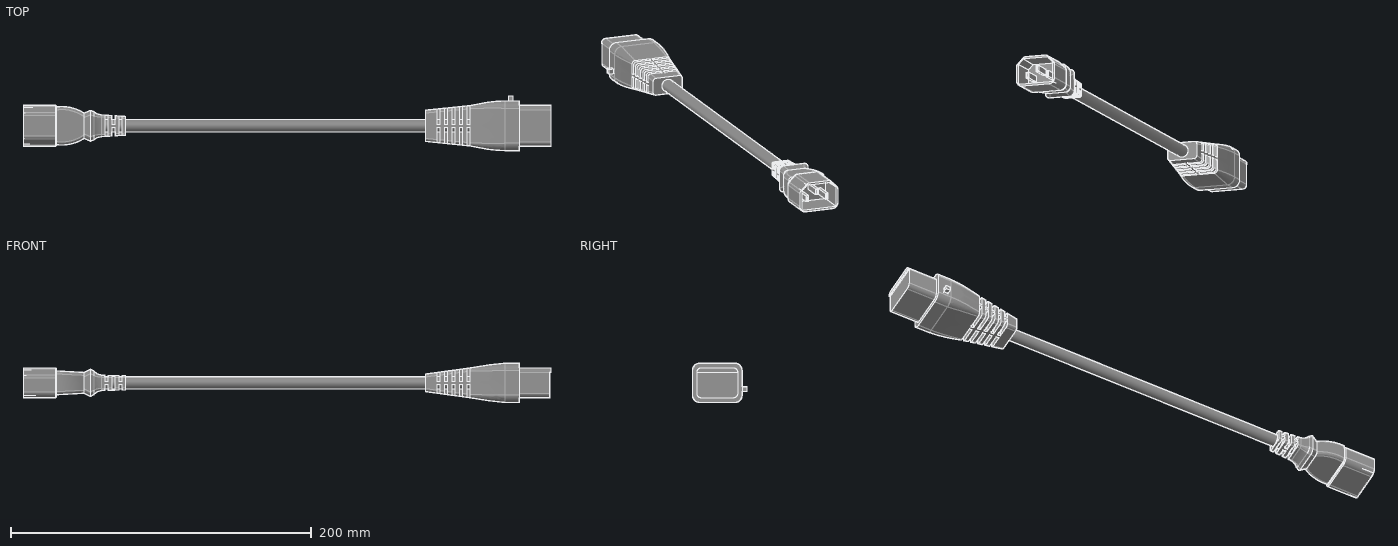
import cadquery as cq

overall_length = 350.82
overall_width = 36.45
overall_height = 26.3
cable_diameter = 8.4

shroud_length = 22.2
shroud_width = 27.3
shroud_height = 19.9
shroud_top_chamfer = 5.6
shroud_chamfer_blend = 2.8
shroud_bottom_radius = 4.0
shroud_rear_chamfer = 0.7

recess_depth = 17.0
recess_mouth_width = 24.4
recess_mouth_height = 17.1
recess_top_chamfer = 3.6
recess_draft_angle = 2.0
pin_tip_setback = 3.0
pin_thickness = 2.0
pin_height = 4.0
pin_tip_chamfer = 0.6
line_pin_spacing = 14.0
pin_offset_z = 2.0

grip_end = 40.4
grip_start_width = 25.4
grip_bulge_x = 33.5
grip_bulge_width = 23.4
grip_end_width = 17.0
grip_start_height = 16.0
grip_end_height = 14.0
grip_edge_radius = 2.1
ridge_peak_x = 44.6
ridge_peak_width = 20.6
ridge_peak_height = 18.3
ridge_rear_x = 46.8
ridge_rear_width = 19.0
ridge_rear_height = 15.9
ridge_waist_x = 49.0
ridge_waist_width = 16.0
ridge_waist_height = 12.2
ridge_waist_radius = 2.0
relief_start = 52.0
relief_end = 67.9
relief_start_width = 14.6
relief_end_width = 12.6
relief_start_height = 10.2
relief_end_height = 9.6
relief_edge_radius = 1.4
ridge_corner_radius = 3.0
plug_groove_start = 54.2
plug_groove_pitch = 4.7
plug_groove_count = 3

groove_width = 2.1
web_thickness = 2.0

socket_start = 267.3
taper_knee_x = 297.0
taper_middle_x = 309.6
collar_start = 320.2
collar_end = 329.7
socket_start_width = 20.9
socket_start_height = 11.8
socket_start_radius = 2.0
taper_knee_width = 27.0
taper_knee_height = 20.0
taper_knee_radius = 2.2
taper_middle_width = 31.6
taper_middle_height = 24.0
taper_middle_radius = 4.0
collar_width = 33.2
collar_corner_radius = 5.0
socket_groove_start = 274.8
socket_groove_pitch = 5.05
socket_groove_count = 5
nose_width = 27.3
nose_height = 19.9
nose_corner_radius = 3.0
nose_lip_length = 0.8

cable_start = relief_start
cable_end = 300.0

button_size = 3.2
button_protrusion = overall_width - collar_width
button_depth = 2.0
button_x = 324.0
button_z = -4.2


def section_plane(x):
    """Plane at the given X whose local axes are global Y and Z."""
    return cq.Workplane("YZ", origin=(x, 0, 0))


def rounded_section(x, width, height, radius):
    """Rounded rectangle across the cord at X."""
    outline = cq.Sketch().rect(width, height).vertices().fillet(radius)
    return outline.moved(cq.Location(cq.Vector(0, 0, x)))


def loft_sections(sections, ruled=True):
    """Solid through rounded rectangles given as (x, width, height, radius)."""
    outlines = [rounded_section(*section) for section in sections]
    return section_plane(0).placeSketch(*outlines).loft(ruled=ruled)


def block(x_start, x_end, width, height):
    """Centred rectangular block between two X positions."""
    return section_plane(x_start).rect(width, height).extrude(x_end - x_start)


def chamfered_outline(x, width, height, chamfer):
    """Rectangle with its two upper corners cut at 45 degrees."""
    half_width = width / 2
    half_height = height / 2
    points = [
        (-half_width, -half_height),
        (half_width, -half_height),
        (half_width, half_height - chamfer),
        (half_width - chamfer, half_height),
        (chamfer - half_width, half_height),
        (-half_width, half_height - chamfer),
    ]
    return section_plane(x).polyline(points).close()


cable = section_plane(cable_start).circle(cable_diameter / 2).extrude(cable_end - cable_start)


def make_shroud():
    """Keyed shell with a drafted recess open at the front end."""
    outline = chamfered_outline(0, shroud_width, shroud_height, shroud_top_chamfer)
    shroud = outline.extrude(shroud_length)
    shroud = shroud.edges("|X").edges("not <Z").fillet(shroud_chamfer_blend)
    shroud = shroud.edges("|X").edges("<Z").fillet(shroud_bottom_radius)
    shroud = shroud.faces(">X").edges().chamfer(shroud_rear_chamfer)
    mouth = chamfered_outline(0, recess_mouth_width, recess_mouth_height, recess_top_chamfer)
    recess = mouth.extrude(recess_depth, taper=recess_draft_angle)
    return shroud.cut(recess)


def make_pins():
    """One earth pin above two line pins, rooted in the recess floor."""
    half_spacing = line_pin_spacing / 2
    centres = [(0, pin_offset_z), (-half_spacing, -pin_offset_z), (half_spacing, -pin_offset_z)]
    length = recess_depth - pin_tip_setback
    pins = section_plane(pin_tip_setback).pushPoints(centres).rect(pin_thickness, pin_height)
    return pins.extrude(length).faces("<X").chamfer(pin_tip_chamfer)


def make_grip():
    """Grip with curved flanks in plan and a straight taper in height."""
    plan = (
        cq.Workplane("XY", origin=(0, 0, -shroud_height / 2))
        .moveTo(shroud_length, -grip_start_width / 2)
        .threePointArc((grip_bulge_x, -grip_bulge_width / 2), (grip_end, -grip_end_width / 2))
        .lineTo(grip_end, grip_end_width / 2)
        .threePointArc((grip_bulge_x, grip_bulge_width / 2), (shroud_length, grip_start_width / 2))
        .close()
        .extrude(shroud_height)
    )
    side = (
        cq.Workplane("XZ", origin=(0, shroud_width / 2, 0))
        .moveTo(shroud_length, -grip_start_height / 2)
        .lineTo(grip_end, -grip_end_height / 2)
        .lineTo(grip_end, grip_end_height / 2)
        .lineTo(shroud_length, grip_start_height / 2)
        .close()
        .extrude(shroud_width)
    )
    grip = plan.intersect(side)
    return grip.edges("not(#X)").edges("not(|Z)").edges("not(|Y)").fillet(grip_edge_radius)


def make_grip_ridge():
    """Ridge around the grip, then a concave run down to the strain relief."""
    rear = (ridge_rear_x, ridge_rear_width, ridge_rear_height, ridge_corner_radius)
    ridge = loft_sections(
        [
            (grip_end, grip_end_width, grip_end_height, ridge_corner_radius),
            (ridge_peak_x, ridge_peak_width, ridge_peak_height, ridge_corner_radius),
            rear,
        ]
    )
    run_down = loft_sections(
        [
            rear,
            (ridge_waist_x, ridge_waist_width, ridge_waist_height, ridge_waist_radius),
            (relief_start, relief_start_width, relief_start_height, relief_edge_radius),
        ],
        ruled=False,
    )
    return ridge.union(run_down)


def make_plug_relief():
    """Strain relief whose webs alternate between the sides and the top and bottom."""
    relief = loft_sections(
        [
            (relief_start, relief_start_width, relief_start_height, relief_edge_radius),
            (relief_end, relief_end_width, relief_end_height, relief_edge_radius),
        ]
    )
    for index in range(plug_groove_count):
        start = plug_groove_start + index * plug_groove_pitch
        end = start + groove_width
        groove = block(start, end, shroud_width, shroud_height)
        if index % 2 == 0:
            web = block(start, end, shroud_width, web_thickness)
        else:
            web = block(start, end, web_thickness, shroud_height)
        relief = relief.cut(groove.cut(web))
    return relief


plug = make_shroud()
for plug_part in (make_pins(), make_grip(), make_grip_ridge(), make_plug_relief()):
    plug = plug.union(plug_part)
plug = plug.cut(cable)


def make_socket_taper():
    """Grooved strain relief with crossed webs, flaring smoothly out to the collar."""
    knee = (taper_knee_x, taper_knee_width, taper_knee_height, taper_knee_radius)
    rear = loft_sections(
        [(socket_start, socket_start_width, socket_start_height, socket_start_radius), knee]
    )
    for index in range(socket_groove_count):
        start = socket_groove_start + index * socket_groove_pitch
        end = start + groove_width
        groove = block(start, end, collar_width, overall_height)
        flat_web = block(start, end, collar_width, web_thickness)
        upright_web = block(start, end, web_thickness, overall_height)
        rear = rear.cut(groove.cut(flat_web).cut(upright_web))
    front = loft_sections(
        [
            knee,
            (taper_middle_x, taper_middle_width, taper_middle_height, taper_middle_radius),
            (collar_start, collar_width, overall_height, collar_corner_radius),
        ],
        ruled=False,
    )
    return rear.union(front)


def make_socket_collar():
    """Straight band around the widest part of the socket."""
    collar = block(collar_start, collar_end, collar_width, overall_height)
    return collar.edges("|X").fillet(collar_corner_radius)


def make_nose():
    """Mating nose whose upper edge reaches slightly past its end face."""
    nose = block(collar_end, overall_length, nose_width, nose_height)
    nose = nose.edges("|X").fillet(nose_corner_radius)
    step_height = nose_height - nose_corner_radius
    step = (
        section_plane(overall_length - nose_lip_length)
        .center(0, -nose_corner_radius / 2)
        .rect(nose_width, step_height)
        .extrude(nose_lip_length)
    )
    return nose.cut(step)


button_length = button_depth + button_protrusion
button_inner_y = collar_width / 2 - button_depth
button = cq.Workplane("XY").box(button_size, button_length, button_size).translate(
    (button_x, button_inner_y + button_length / 2, button_z)
)

socket = make_socket_taper().union(make_socket_collar()).union(make_nose())
socket = socket.cut(cable).cut(button)

result = cq.Compound.makeCompound([plug.val(), cable.val(), socket.val(), button.val()])